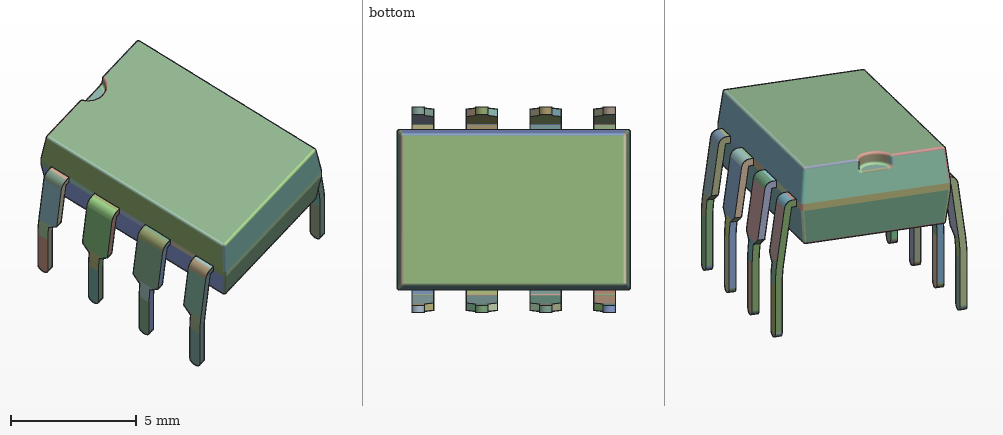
import cadquery as cq
import math

body_length = 9.3
body_width = 6.4
body_height = 3.3
band_height = 0.3
half_height = (body_height - band_height) / 2
side_inset = 0.17
edge_radius = 0.1

notch_radius = 0.7
notch_depth = 0.5

lead_thickness = band_height
lead_pitch = 2.54
leads_per_row = 4
shoulder_width = 1.26
leg_width = 0.5
outer_leg_y = 4.1
overall_height = 7.36
lead_span_z = overall_height - half_height
lean_angle = 8.0
knee_outer_radius = 0.35
knee_inner_radius = knee_outer_radius - lead_thickness
ankle_inner_radius = 6.51
ankle_outer_radius = ankle_inner_radius + lead_thickness
ankle_end_depth = 3.56
shoulder_depth = 2.45
neck_depth = 2.76
root_depth = 0.465
lead_root_y = body_width / 2 - root_depth

body_top = half_height


def tapered_half(start_z, height):
    """Half of the body that leans in away from the parting band."""
    taper = math.degrees(math.atan(side_inset / half_height))
    return (
        cq.Workplane("XY", origin=(0, 0, start_z))
        .rect(body_length, body_width)
        .extrude(height, taper=taper)
    )


def make_body():
    """Body block with its upright corners and bottom rim rounded."""
    band = cq.Workplane("XY").rect(body_length, body_width).extrude(-band_height)
    upper_half = tapered_half(0, half_height)
    lower_half = tapered_half(-band_height, -half_height)
    body = band.union(upper_half).union(lower_half)
    corners = [
        edge
        for edge in body.edges().vals()
        if abs(edge.Center().x) > body_length / 2 - side_inset
        and abs(edge.Center().y) > body_width / 2 - side_inset
    ]
    body = body.newObject(corners).fillet(edge_radius)
    return body.faces("<Z").edges().fillet(edge_radius)


def cut_notch(body):
    """Notch with a rounded floor corner; its mouth is rounded together with the rim of the top face."""
    notch = (
        cq.Workplane("XY", origin=(-body_length / 2, 0, body_top - notch_depth))
        .circle(notch_radius)
        .extrude(notch_depth)
        .faces("<Z").edges().fillet(edge_radius)
    )
    notched = body.cut(notch)
    side = min(
        (face for face in notched.faces("%PLANE").vals() if face.Center().z > 0),
        key=lambda face: face.normalAt().x,
    )
    mouth = [
        edge
        for edge in side.Edges()
        if abs(edge.Center().y) < notch_radius and edge.Center().z > body_top - notch_depth - edge_radius
    ]
    rim = notched.faces(">Z").edges().vals()
    return notched.newObject(rim + mouth).fillet(edge_radius)


def lead_profile():
    """Bent strip seen along X, for the +Y row, as a solid across the whole row."""
    lean = math.radians(lean_angle)
    sin_lean = math.sin(lean)
    cos_lean = math.cos(lean)
    ankle_y = outer_leg_y - ankle_outer_radius
    ankle_z = -ankle_end_depth
    knee_z = -knee_outer_radius

    slope_length_z = knee_z - ankle_z
    radius_gap = ankle_outer_radius - knee_outer_radius
    knee_y = ankle_y + (radius_gap - slope_length_z * sin_lean) / cos_lean

    def on_knee(radius, angle):
        return (knee_y + radius * math.cos(angle), knee_z + radius * math.sin(angle))

    def on_ankle(radius, angle):
        return (ankle_y + radius * math.cos(angle), ankle_z + radius * math.sin(angle))

    top = math.pi / 2
    knee_middle = (top + lean) / 2
    return (
        cq.Workplane("YZ")
        .moveTo(lead_root_y, 0)
        .lineTo(*on_knee(knee_outer_radius, top))
        .threePointArc(on_knee(knee_outer_radius, knee_middle), on_knee(knee_outer_radius, lean))
        .lineTo(*on_ankle(ankle_outer_radius, lean))
        .threePointArc(on_ankle(ankle_outer_radius, lean / 2), on_ankle(ankle_outer_radius, 0))
        .lineTo(outer_leg_y, -lead_span_z)
        .lineTo(outer_leg_y - lead_thickness, -lead_span_z)
        .lineTo(*on_ankle(ankle_inner_radius, 0))
        .threePointArc(on_ankle(ankle_inner_radius, lean / 2), on_ankle(ankle_inner_radius, lean))
        .lineTo(*on_knee(knee_inner_radius, lean))
        .threePointArc(on_knee(knee_inner_radius, knee_middle), on_knee(knee_inner_radius, top))
        .lineTo(lead_root_y, -lead_thickness)
        .close()
        .extrude(body_length / 2, both=True)
    )


def lead_outline(center_x, left_half, right_half):
    """Block with the outline of one lead, from its wide shoulder to its round tip."""
    leg_half = leg_width / 2
    tip_z = -lead_span_z
    return (
        cq.Workplane("XZ", origin=(center_x, 0, 0))
        .moveTo(-left_half, 0)
        .lineTo(right_half, 0)
        .lineTo(right_half, -shoulder_depth)
        .lineTo(leg_half, -neck_depth)
        .lineTo(leg_half, tip_z + leg_half)
        .threePointArc((0, tip_z), (-leg_half, tip_z + leg_half))
        .lineTo(-leg_half, -neck_depth)
        .lineTo(-left_half, -shoulder_depth)
        .close()
        .extrude(-body_width)
    )


def lead_row():
    """Leads of the +Y row; the end leads have no shoulder on their outer side."""
    strip = lead_profile()
    last = leads_per_row - 1
    leads = []
    for index in range(leads_per_row):
        center_x = (index - last / 2) * lead_pitch
        left_half = (leg_width if index == 0 else shoulder_width) / 2
        right_half = (leg_width if index == last else shoulder_width) / 2
        leads.append(strip.intersect(lead_outline(center_x, left_half, right_half)))
    return leads


result = cut_notch(make_body())
for lead in lead_row():
    result = result.union(lead).union(lead.mirror("XZ"))